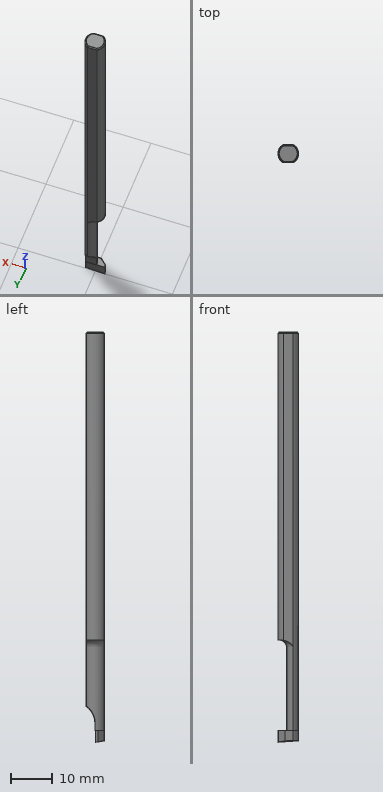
import cadquery as cq
import math

total_length = 100.0
shank_radius = 2.5
flat_offset = 2.2
end_chamfer = 0.3

shoulder_height = 24.9
neck_edge_x = -0.4
neck_fillet = 1.8
flat_half_width = math.sqrt(shank_radius**2 - flat_offset**2)
neck_sag = flat_half_width - neck_edge_x
neck_radius = (neck_sag**2 + flat_offset**2) / (2 * neck_sag)
neck_axis_x = neck_edge_x + neck_radius

relief_face_y = 0.1
relief_radius = 5.0
relief_arc_base = 4.7

tip_top = 2.9
rake_face_y = 0.0
land_end_x = -2.4
land_end_y = -0.7
heel_x = -0.8
end_relief_x = 0.07
end_relief_y = 0.1

clearance = 5.0


def flatted_bar(bottom, top):
    """Round bar with flats facing -Y and +Y and a chamfered top end."""
    height = top - bottom
    bar = (
        cq.Workplane("XY")
        .workplane(offset=bottom)
        .circle(shank_radius)
        .extrude(height)
        .faces(">Z")
        .chamfer(end_chamfer)
    )
    flats = (
        cq.Workplane("XY")
        .workplane(offset=bottom)
        .rect(2 * clearance, 2 * flat_offset)
        .extrude(height)
        .faces(">Z")
        .edges("|X")
        .chamfer(end_chamfer)
    )
    return bar.intersect(flats)


def neck_cutter():
    """Ring around the neck, rounded at its inner upper edge to leave a fillet."""
    outer_radius = neck_radius + 2 * clearance
    fillet_start = shoulder_height - neck_fillet
    diagonal = neck_fillet * (1 - math.sqrt(0.5))
    return (
        cq.Workplane("XZ")
        .moveTo(neck_radius, -clearance)
        .lineTo(neck_radius, fillet_start)
        .threePointArc(
            (neck_radius + diagonal, shoulder_height - diagonal),
            (neck_radius + neck_fillet, shoulder_height),
        )
        .lineTo(outer_radius, shoulder_height)
        .lineTo(outer_radius, -clearance)
        .close()
        .revolve(360, (0, 0, 0), (0, 1, 0))
        .translate((neck_axis_x, 0, 0))
        .intersect(
            cq.Workplane("XY")
            .box(4 * clearance, 4 * clearance, total_length, centered=(False, True, False))
            .translate((flat_half_width - 4 * clearance, 0, 0))
        )
    )


def relief_cutter():
    """Flat-faced cut on +Y that curves out to the side at its upper end."""
    arc_center_y = relief_face_y + relief_radius
    diagonal = relief_radius * math.sqrt(0.5)
    return (
        cq.Workplane("YZ")
        .moveTo(relief_face_y, 0)
        .lineTo(relief_face_y, relief_arc_base)
        .threePointArc(
            (arc_center_y - diagonal, relief_arc_base + diagonal),
            (arc_center_y, relief_arc_base + relief_radius),
        )
        .lineTo(arc_center_y, 0)
        .close()
        .extrude(clearance, both=True)
    )


def make_bar():
    bar = flatted_bar(tip_top, total_length)
    return bar.cut(neck_cutter()).cut(relief_cutter())


def make_tip():
    """Hooked tip with a slanted flank and a lower face relieved from the corner."""
    arc_middle = math.asin(flat_offset / shank_radius) / 2
    tip = (
        cq.Workplane("XY")
        .moveTo(-shank_radius, rake_face_y)
        .lineTo(land_end_x, land_end_y)
        .lineTo(heel_x, -flat_offset)
        .lineTo(flat_half_width, -flat_offset)
        .threePointArc(
            (shank_radius * math.cos(arc_middle), -shank_radius * math.sin(arc_middle)),
            (shank_radius, rake_face_y),
        )
        .close()
        .extrude(tip_top)
    )
    lower_face = cq.Plane(
        origin=(-shank_radius, rake_face_y, 0),
        xDir=(1, 0, end_relief_x),
        normal=(-end_relief_x, end_relief_y, 1),
    )
    below = cq.Workplane(lower_face).rect(4 * clearance, 4 * clearance).extrude(-clearance)
    return tip.cut(below)


bar = make_bar()
tip = make_tip()

result = cq.Compound.makeCompound([bar.val(), tip.val()])